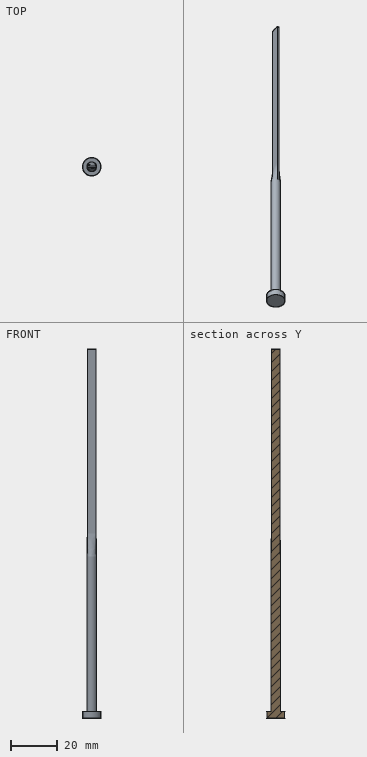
import cadquery as cq

total_length = 160.0
head_diameter = 8.0
head_height = 3.0
shaft_diameter = 4.2
transition_start = 70.0
blade_start = 80.0
blade_width = 3.8
blade_thickness = 0.8


def round_section(diameter, bottom, top):
    """Upright cylinder between two heights."""
    return cq.Workplane("XY").workplane(offset=bottom).circle(diameter / 2).extrude(top - bottom)


def transition():
    """Smooth change from the round shaft to the flat blade."""
    return (
        cq.Workplane("XY")
        .workplane(offset=transition_start)
        .circle(shaft_diameter / 2)
        .workplane(offset=blade_start - transition_start)
        .rect(blade_width, blade_thickness)
        .loft(combine=True)
    )


def blade():
    """Flat rectangular blade up to the tip."""
    return (
        cq.Workplane("XY")
        .workplane(offset=blade_start)
        .rect(blade_width, blade_thickness)
        .extrude(total_length - blade_start)
    )


head = round_section(head_diameter, 0, head_height)
shaft = round_section(shaft_diameter, head_height, transition_start)
result = head.union(shaft).union(transition()).union(blade())